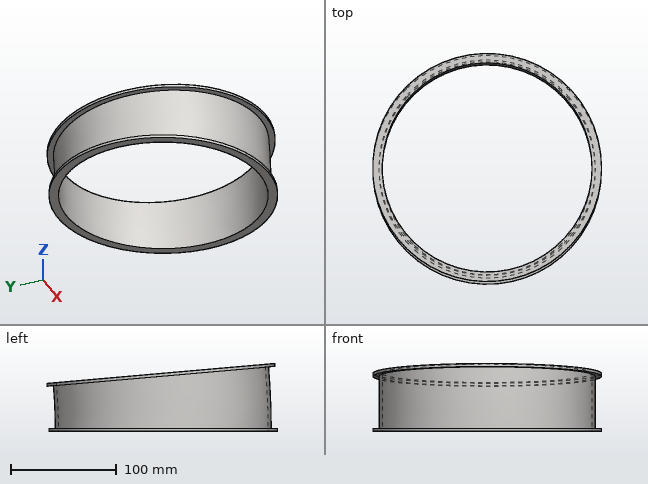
import cadquery as cq
import math

flange_diameter = 216.0
flange_thickness = 2.8
tube_outer_diameter = 204.0
tube_wall = 3.0
bend_angle = 5.0
top_center_height = 54.7

bore_diameter = tube_outer_diameter - 2 * tube_wall
bend_radius = top_center_height / math.sin(math.radians(bend_angle))
top_center_offset = bend_radius * (1 - math.cos(math.radians(bend_angle)))


def bent_rod(diameter):
    """Round rod rising from the base and bending towards +Y."""
    return (
        cq.Workplane("XY")
        .circle(diameter / 2)
        .revolve(bend_angle, (0, bend_radius, 0), (-1, bend_radius, 0))
    )


def flange_disc():
    """Flat disc standing on the XY plane."""
    return cq.Workplane("XY").circle(flange_diameter / 2).extrude(flange_thickness)


lower_flange = flange_disc()
upper_flange = (
    flange_disc()
    .translate((0, 0, -flange_thickness))
    .rotate((0, 0, 0), (1, 0, 0), -bend_angle)
    .translate((0, top_center_offset, top_center_height))
)

body = bent_rod(tube_outer_diameter).union(lower_flange).union(upper_flange)
result = body.cut(bent_rod(bore_diameter))